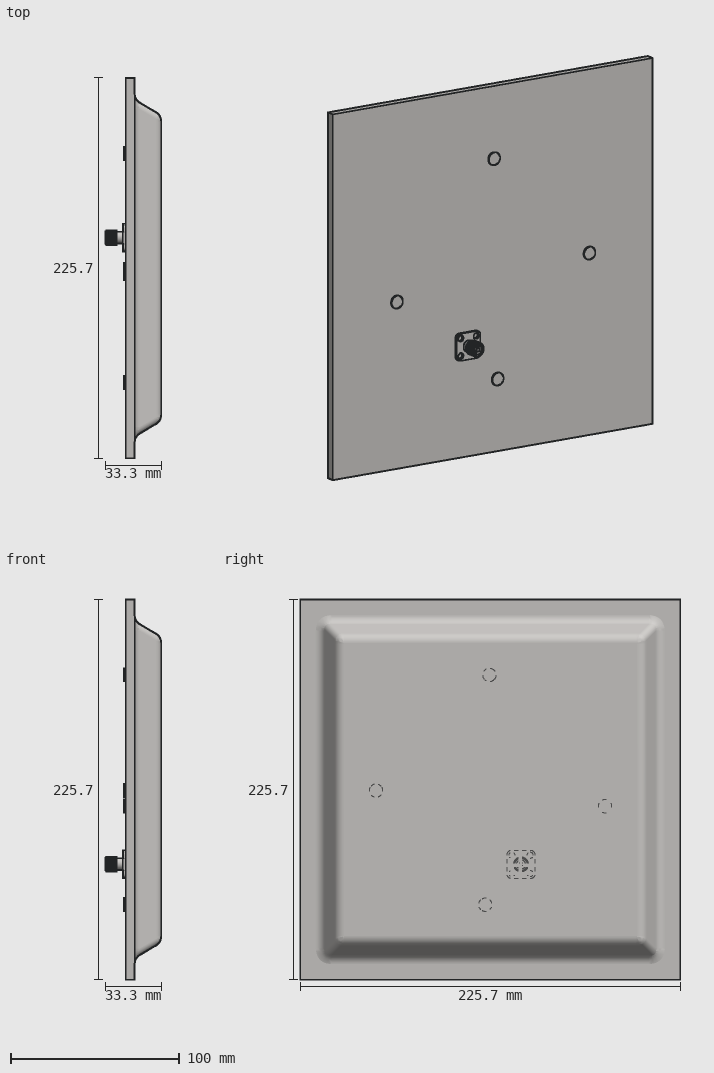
import cadquery as cq

plate_size = 225.7
plate_thickness = 5.5

cover_base = 200.0
cover_height = 15.8
cover_taper = 30.5
cover_corner_radius = 4.5
cover_top_radius = 6.5
cover_foot_radius = 6.3
foot_zone_margin = 0.2

button_diameter = 8.0
button_height = 1.0
button_centres = [(-0.7, 68.2), (68.0, -9.7), (-68.0, -0.5), (-3.2, -68.2)]

connector_centre = (18.0, -44.2)
connector_length = 12.0
flange_size = 16.7
flange_thickness = 1.5
flange_corner_radius = 2.7
flange_hole_diameter = 3.5
flange_hole_spacing = 10.8
neck_diameter = 7.2
thread_diameter = 8.8
thread_length = 6.8
thread_chamfer = 0.7
thread_groove_count = 7
thread_groove_depth = 0.5
bore_diameter = 5.5
bore_depth = 3.4
pin_diameter = 2.3


def yz_plane(x):
    """Sketch plane at X = x: local x is Y, local y is Z, normal is +X."""
    return cq.Workplane("YZ", origin=(x, 0, 0))


def connector_plane(x):
    """Sketch plane at X = x, centred on the connector axis."""
    return yz_plane(x).center(*connector_centre)


def make_cover():
    """Tapered square cover with rounded corners and a rounded top rim."""
    cover = (
        yz_plane(plate_thickness)
        .rect(cover_base, cover_base)
        .extrude(cover_height, taper=cover_taper)
    )
    cover = cover.edges("not(#X)").fillet(cover_corner_radius)
    return cover.faces(">X").edges().fillet(cover_top_radius)


def make_panel():
    """Plate with the cover blended into its front and buttons on its back."""
    plate = yz_plane(0).rect(plate_size, plate_size).extrude(plate_thickness)
    panel = plate.union(make_cover())
    cover_reach = cover_base / 2 + cover_foot_radius
    foot_zone = cq.selectors.BoxSelector(
        (plate_thickness - foot_zone_margin, -cover_reach, -cover_reach),
        (plate_thickness + foot_zone_margin, cover_reach, cover_reach),
    )
    panel = panel.edges(foot_zone).fillet(cover_foot_radius)
    buttons = yz_plane(0).pushPoints(button_centres).circle(button_diameter / 2).extrude(-button_height)
    return panel.union(buttons)


def make_flange():
    """Square mounting flange with four screw holes."""
    flange = connector_plane(0).rect(flange_size, flange_size).extrude(-flange_thickness)
    flange = flange.edges("|X").fillet(flange_corner_radius)
    holes = (
        connector_plane(0)
        .rect(flange_hole_spacing, flange_hole_spacing, forConstruction=True)
        .vertices()
        .circle(flange_hole_diameter / 2)
        .extrude(-flange_thickness)
    )
    return flange.cut(holes)


def make_barrel():
    """Threaded barrel with ring grooves, an open bore and a centre pin."""
    tip = -connector_length
    barrel = connector_plane(tip).circle(thread_diameter / 2).extrude(thread_length)
    barrel = barrel.faces("<X").edges().chamfer(thread_chamfer)
    land = (thread_length - thread_chamfer) / (2 * thread_groove_count + 1)
    root_radius = thread_diameter / 2 - thread_groove_depth
    for index in range(thread_groove_count):
        groove_start = tip + thread_chamfer + (2 * index + 1) * land
        groove = (
            connector_plane(groove_start)
            .circle(thread_diameter)
            .circle(root_radius)
            .extrude(land)
        )
        barrel = barrel.cut(groove)
    bore = (
        connector_plane(tip)
        .circle(bore_diameter / 2)
        .circle(pin_diameter / 2)
        .extrude(bore_depth)
    )
    return barrel.cut(bore)


def make_connector():
    """Flange, plain neck and threaded barrel as one solid."""
    neck_length = connector_length - thread_length
    neck = connector_plane(0).circle(neck_diameter / 2).extrude(-neck_length)
    return make_flange().union(neck).union(make_barrel())


panel = make_panel()
connector = make_connector()

result = cq.Compound.makeCompound([panel.val(), connector.val()])